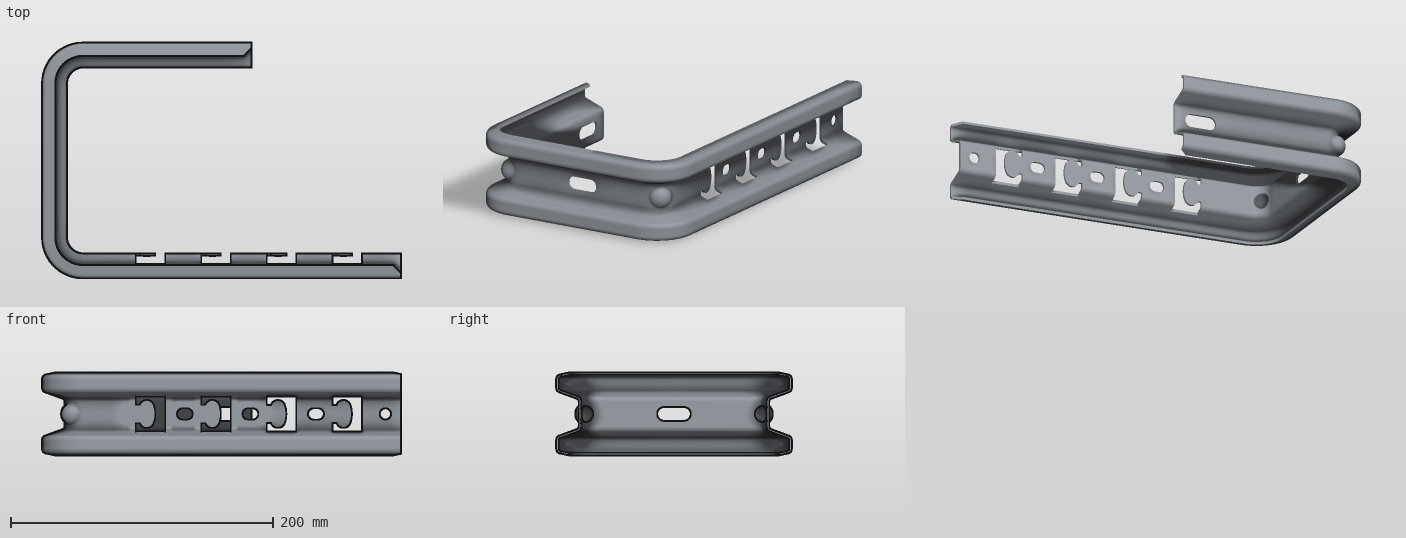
import cadquery as cq
import math


long_arm = 274.0
short_arm = 160.0
bracket_width = 180.0
rail_height = 63.43
corner_radius = 31.5

sheet = 2.0
rail_depth = 19.2
web_depth = rail_depth - sheet
web_half_flat = 9.7
web_bend_radius = 2.0
bead_radius = 4.0
flank_angle = 20.0
lip_angle = 12.0
lip_end_depth = 10.1
lip_end_chamfer = 6.0
lip_zone_height = 6.0

window_count = 4
window_pitch = 50.0
window_length = 22.3
window_floor_depth = 11.4
last_window_to_end = 30.0

neck_half_height = 7.0
tongue_length = 14.9
tongue_half_height = 10.7
tongue_corner_radius = 5.7
tongue_corner_x = 8.3
notch_base_fillet = 1.5

small_slot_length = 12.0
small_slot_height = 8.5
last_small_slot_to_end = 65.0
end_hole_diameter = 8.5
end_hole_to_end = 12.0
large_slot_length = 25.5
large_slot_height = 10.4
rear_slot_to_end = 22.0

dome_radius = 8.2
dome_reach = 20.2
dome_tip_radius = 10.0
dome_tip_circle = 3.25
dome_base_fillet = 1.3


def polar(center, radius, degrees):
    angle = math.radians(degrees)
    return (center[0] + radius * math.cos(angle), center[1] + radius * math.sin(angle))


def half_section(offset):
    """Bend arcs (start, middle, end) and lip end of the upper half, at an offset from the outer surface."""
    bend_normal = 90 - flank_angle
    lip_normal = 90 + lip_angle
    web_center = (web_depth - web_bend_radius, web_half_flat)
    run = web_center[0] - bead_radius
    normal = polar((0, 0), 1, bend_normal)
    lower_z = web_half_flat + (web_bend_radius + bead_radius + run * normal[0]) / normal[1]
    lip_start = polar((bead_radius, 0), bead_radius, lip_normal)
    lip_rise = (lip_end_depth - lip_start[0]) * math.tan(math.radians(lip_angle))
    upper_z = rail_height / 2 - lip_rise - lip_start[1]

    bends = (
        (web_center, web_bend_radius + offset, 0, bend_normal),
        ((bead_radius, lower_z), bead_radius - offset, 180 + bend_normal, 180),
        ((bead_radius, upper_z), bead_radius - offset, 180, lip_normal),
    )
    arcs = [
        [polar(center, radius, angle) for angle in (start, (start + end) / 2, end)]
        for center, radius, start, end in bends
    ]
    lip_end = polar((lip_end_depth, rail_height / 2), -offset, lip_normal)
    return arcs, lip_end


def rail_profile():
    outer_arcs, outer_end = half_section(0)
    inner_arcs, inner_end = half_section(sheet)

    def mirrored(point):
        return (point[0], -point[1])

    profile = cq.Workplane("YZ", origin=(long_arm, 0, 0)).moveTo(*mirrored(outer_end))
    for start, middle, end in reversed(outer_arcs):
        profile = profile.lineTo(*mirrored(end)).threePointArc(mirrored(middle), mirrored(start))
    for start, middle, end in outer_arcs:
        profile = profile.lineTo(*start).threePointArc(middle, end)
    profile = profile.lineTo(*outer_end).lineTo(*inner_end)
    for start, middle, end in reversed(inner_arcs):
        profile = profile.lineTo(*end).threePointArc(middle, start)
    for start, middle, end in inner_arcs:
        profile = profile.lineTo(*mirrored(start)).threePointArc(mirrored(middle), mirrored(end))
    return profile.lineTo(*mirrored(inner_end)).close()


def rail_path():
    return (
        cq.Workplane("XY")
        .moveTo(long_arm, 0)
        .lineTo(corner_radius, 0)
        .tangentArcPoint((0, corner_radius), relative=False)
        .lineTo(0, bracket_width - corner_radius)
        .tangentArcPoint((corner_radius, bracket_width), relative=False)
        .lineTo(short_arm, bracket_width)
    )


def lip_chamfer_tool(arm_end, outer_y, inward):
    """Diamond-shaped prism that takes the corners off both lips at the end of an arm."""
    lip_edge = outer_y + inward * lip_end_depth
    prism = (
        cq.Workplane("XY")
        .moveTo(arm_end - lip_end_chamfer, lip_edge)
        .lineTo(arm_end, lip_edge - inward * lip_end_chamfer)
        .lineTo(arm_end + lip_end_chamfer, lip_edge)
        .lineTo(arm_end, lip_edge + inward * lip_end_chamfer)
        .close()
        .extrude(rail_height / 2, both=True)
    )
    flanks = cq.Workplane("XY").box(4 * lip_end_chamfer, 4 * lip_end_chamfer, rail_height - 2 * lip_zone_height)
    return prism.cut(flanks.translate((arm_end, lip_edge, 0)))


def web_slot(length, height):
    """Slot cutter along X, centred on the origin and running through the rail along Y."""
    return cq.Workplane("XZ").slot2D(length, height).extrude(rail_depth, both=True)


def tongue(window_start):
    """Neck and rounded head that stay inside a window."""
    corner_z = tongue_half_height - tongue_corner_radius
    reach = tongue_length - tongue_corner_x
    front_radius = (reach**2 + corner_z**2 - tongue_corner_radius**2) / (2 * (reach - tongue_corner_radius))
    front_center_x = tongue_length - front_radius
    join_angle = math.degrees(math.atan2(corner_z, tongue_corner_x - front_center_x))
    neck_angle = 180 - math.degrees(math.asin((neck_half_height - corner_z) / tongue_corner_radius))
    corner = (tongue_corner_x, corner_z)
    neck_end, corner_top, join = [
        polar(corner, tongue_corner_radius, angle) for angle in (neck_angle, 90, join_angle)
    ]
    return (
        cq.Workplane("XZ", origin=(window_start, 0, 0))
        .moveTo(0, -neck_half_height)
        .lineTo(0, neck_half_height)
        .lineTo(*neck_end)
        .threePointArc(corner_top, join)
        .threePointArc((tongue_length, 0), (join[0], -join[1]))
        .threePointArc((corner_top[0], -corner_top[1]), (neck_end[0], -neck_end[1]))
        .close()
        .extrude(rail_depth, both=True)
    )


def window_tool(window_start):
    """Window through the web and the deep part of both flanks, less its tongue."""
    window = cq.Workplane("XY").box(window_length, rail_depth, rail_height, centered=(False, False, True))
    window = window.translate((window_start, window_floor_depth, 0)).cut(tongue(window_start))
    for side in (1, -1):
        notch_base = (window_start, 0, side * neck_half_height)
        window = window.edges(cq.selectors.NearestToPointSelector(notch_base)).fillet(notch_base_fillet)
    return window


def dome_solid(inset):
    """Dome of revolution along +X about the origin, with a broad spherical tip and a rounded shoulder."""
    radius = dome_radius - inset
    tip_x = dome_reach - inset
    tip_radius = dome_tip_radius - inset
    tip_circle = dome_tip_circle * tip_radius / dome_tip_radius
    tip_angle = math.degrees(math.asin(tip_circle / tip_radius))
    slope = math.sin(math.radians(tip_angle))
    tip_center = (tip_x - tip_radius, 0)
    shoulder_radius = (radius - tip_circle) / (1 - slope)
    shoulder_center = polar(tip_center, tip_radius - shoulder_radius, tip_angle)
    return (
        cq.Workplane("XY")
        .lineTo(tip_x, 0)
        .threePointArc(polar(tip_center, tip_radius, tip_angle / 2), polar(tip_center, tip_radius, tip_angle))
        .threePointArc(
            polar(shoulder_center, shoulder_radius, (tip_angle + 90) / 2),
            polar(shoulder_center, shoulder_radius, 90),
        )
        .lineTo(0, radius)
        .close()
        .revolve(360, (0, 0, 0), (1, 0, 0))
    )


def add_corner_dome(rail, center_y, direction):
    """Press a dome out of the web at a corner, along the bisector of the bend."""

    def placed(shape):
        turned = shape.rotate((0, 0, 0), (0, 0, 1), direction)
        return turned.translate((corner_radius, center_y, 0))

    web_inner_radius = corner_radius - rail_depth
    web_core = cq.Workplane("XY").circle(web_inner_radius).extrude(rail_height / 2, both=True)
    shell = placed(dome_solid(0).cut(web_core))
    rail = rail.union(shell)
    base = polar((corner_radius, center_y), corner_radius - web_depth, direction)
    rim_point = (base[0], base[1], dome_radius)
    rail = rail.edges(cq.selectors.NearestToPointSelector(rim_point)).fillet(dome_base_fillet)
    return rail.cut(placed(dome_solid(sheet)))


bracket = rail_profile().sweep(rail_path())

for center_y, direction in ((corner_radius, 225), (bracket_width - corner_radius, 135)):
    bracket = add_corner_dome(bracket, center_y, direction)

bracket = bracket.cut(lip_chamfer_tool(long_arm, 0, 1))
bracket = bracket.cut(lip_chamfer_tool(short_arm, bracket_width, -1))

last_window_start = long_arm - last_window_to_end - window_length
for index in range(window_count):
    bracket = bracket.cut(window_tool(last_window_start - index * window_pitch))

for index in range(window_count - 1):
    slot_x = long_arm - last_small_slot_to_end - index * window_pitch
    bracket = bracket.cut(web_slot(small_slot_length, small_slot_height).translate((slot_x, 0, 0)))

end_hole = cq.Workplane("XZ").circle(end_hole_diameter / 2).extrude(rail_depth, both=True)
bracket = bracket.cut(end_hole.translate((long_arm - end_hole_to_end, 0, 0)))

large_slot = web_slot(large_slot_length, large_slot_height)
bracket = bracket.cut(large_slot.translate((short_arm - rear_slot_to_end, bracket_width, 0)))
side_slot = large_slot.rotate((0, 0, 0), (0, 0, 1), 90)
bracket = bracket.cut(side_slot.translate((0, bracket_width / 2, 0)))

result = bracket